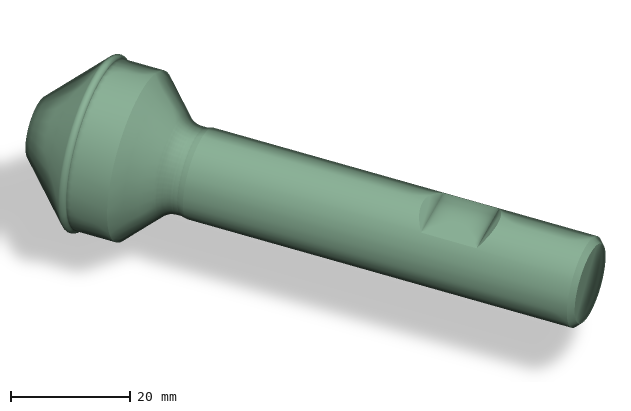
import cadquery as cq
import math

overall_length = 100.0
cutter_diameter = 31.2
cone_angle = math.radians(45)

nose_radius = 0.8
front_nose_radius = 5.0
front_opening_radius = 4.4

head_diameter = 30.0
head_back_x = 18.7
neck_diameter = 15.5
neck_fillet = 4.0
neck_length = 0.9
neck_taper_length = 1.1
shank_diameter = 16.0
end_chamfer = 1.0

flat_center_x = 76.5
flat_length = 10.0
flat_height = 6.2

head_radius = head_diameter / 2
neck_radius = neck_diameter / 2
shank_radius = shank_diameter / 2

front_center_x = nose_radius
rim_center_r = cutter_diameter / 2 - nose_radius
rim_center_x = front_center_x + (rim_center_r - front_nose_radius) / math.tan(cone_angle)
tangent_offset_x = nose_radius * math.sin(cone_angle)
tangent_offset_r = nose_radius * math.cos(cone_angle)

opening_drop = front_nose_radius - front_opening_radius
seat_front_x = front_center_x - math.sqrt(nose_radius**2 - opening_drop**2)
seat_back_x = rim_center_x + math.sqrt(nose_radius**2 - (head_radius - rim_center_r)**2)


def revolve_about_x(profile):
    return profile.close().revolve(360, (0, 0, 0), (1, 0, 0))


def make_cutting_ring():
    profile = (
        cq.Workplane("XY")
        .moveTo(seat_front_x, front_opening_radius)
        .threePointArc(
            (0, front_nose_radius),
            (front_center_x - tangent_offset_x, front_nose_radius + tangent_offset_r),
        )
        .lineTo(rim_center_x - tangent_offset_x, rim_center_r + tangent_offset_r)
        .threePointArc((rim_center_x, cutter_diameter / 2), (seat_back_x, head_radius))
    )
    return revolve_about_x(profile)


def make_holder_blank():
    fillet_start_r = neck_radius + neck_fillet * (1 - math.cos(cone_angle))
    fillet_start_x = head_back_x + (head_radius - fillet_start_r) / math.tan(cone_angle)
    neck_start_x = fillet_start_x + neck_fillet * math.sin(cone_angle)
    half_angle = cone_angle / 2
    fillet_middle = (
        neck_start_x - neck_fillet * math.sin(half_angle),
        neck_radius + neck_fillet * (1 - math.cos(half_angle)),
    )
    neck_end_x = neck_start_x + neck_length
    profile = (
        cq.Workplane("XY")
        .moveTo(seat_front_x, 0)
        .lineTo(seat_front_x, front_opening_radius)
        .lineTo(seat_back_x, head_radius)
        .lineTo(head_back_x, head_radius)
        .lineTo(fillet_start_x, fillet_start_r)
        .threePointArc(fillet_middle, (neck_start_x, neck_radius))
        .lineTo(neck_end_x, neck_radius)
        .lineTo(neck_end_x + neck_taper_length, shank_radius)
        .lineTo(overall_length - end_chamfer, shank_radius)
        .lineTo(overall_length, shank_radius - end_chamfer)
        .lineTo(overall_length, 0)
    )
    return revolve_about_x(profile)


def make_flat_cut():
    half_floor = flat_length / 2
    half_top = half_floor + shank_radius - flat_height
    return (
        cq.Workplane("XZ")
        .moveTo(flat_center_x - half_floor, flat_height)
        .lineTo(flat_center_x + half_floor, flat_height)
        .lineTo(flat_center_x + half_top, shank_radius)
        .lineTo(flat_center_x - half_top, shank_radius)
        .close()
        .extrude(shank_radius, both=True)
    )


cutting_ring = make_cutting_ring()
holder = make_holder_blank().cut(make_flat_cut())

result = cq.Compound.makeCompound([cutting_ring.val(), holder.val()])